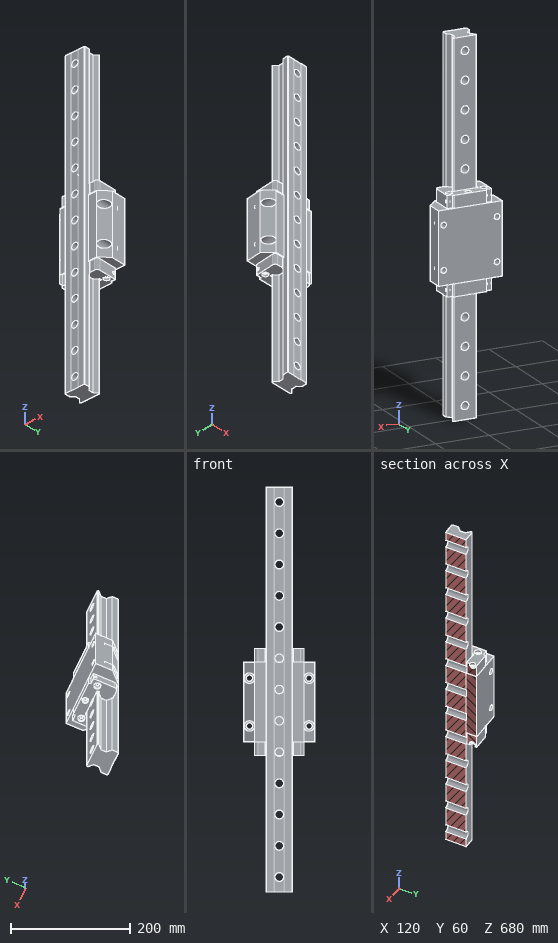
import cadquery as cq

RAIL_LENGTH = 680.0
RAIL_HEIGHT = 39.5
RAIL_WIDTH = 45.0
RAIL_EDGE_CHAMFER = 1.5
WAIST_WIDTH = 30.0
WAIST_BOTTOM = 20.0
WAIST_TOP = 29.0
GROOVE_WIDTH = 18.5
GROOVE_FLOOR_WIDTH = 15.5
GROOVE_DEPTH = 0.4
RAIL_HOLE_DIAMETER = 14.0
RAIL_HOLE_COUNT = 13
RAIL_END_TO_HOLE = 25.0
RAIL_HOLE_PITCH = (RAIL_LENGTH - 2 * RAIL_END_TO_HOLE) / (RAIL_HOLE_COUNT - 1)

CARRIAGE_Z = -21.0
CARRIAGE_TOP = 60.0
BLOCK_LENGTH = 134.0
BLOCK_WIDTH = 120.0
BLOCK_BOTTOM = 9.5
BLOCK_BOTTOM_WIDTH = 83.0
BLOCK_SIDE_BOTTOM = 28.5
FLANGE_HOLE_DIAMETER = 10.0
FLANGE_BORE_DIAMETER = 18.0
FLANGE_BORE_TOP = 43.0
FLANGE_HOLE_SPACING_X = 100.0
FLANGE_HOLE_SPACING_Z = 80.0

CAP_LENGTH = 23.0
CAP_WIDTH = 83.5
CAP_BOTTOM = 11.0
CAP_SHOULDER_Y = 56.0
CAP_CROWN_WIDTH = 61.0
CAP_CROWN_TAPER = 1.5
CAP_FILLET = 6.0
CAP_RAIL_GAP = 1.5
PORT_Y = 52.0
SIDE_PORT_DIAMETER = 4.9
PORT_DEPTH = 7.0
SCREW_SPACING = 64.5
SCREW_Y = 44.0
SCREW_RECESS_DIAMETER = 11.5
END_PORT_RECESS_DIAMETER = 10.0
END_RECESS_DEPTH = 5.5
END_SOCKET_DIAMETER = 5.2
END_SOCKET_DEPTH = 3.0


def mirrored_outline(right_half):
    """Closed wire from the right half of an outline, listed from bottom to top."""
    left_half = [(-x, y) for x, y in reversed(right_half)]
    return cq.Workplane("XY").polyline(right_half + left_half).close()


def rail_outline():
    half_width = RAIL_WIDTH / 2
    half_waist = WAIST_WIDTH / 2
    flare = half_width - half_waist
    return mirrored_outline([
        (half_width - RAIL_EDGE_CHAMFER, 0),
        (half_width, RAIL_EDGE_CHAMFER),
        (half_width, WAIST_BOTTOM - flare),
        (half_waist, WAIST_BOTTOM),
        (half_waist, WAIST_TOP),
        (half_width, WAIST_TOP + flare),
        (half_width, RAIL_HEIGHT - RAIL_EDGE_CHAMFER),
        (half_width - RAIL_EDGE_CHAMFER, RAIL_HEIGHT),
    ])


def rail_envelope():
    return rail_outline().extrude(RAIL_LENGTH / 2, both=True)


def hole_along_y(diameter, x, z, bottom, top):
    return (
        cq.Workplane("XZ", origin=(x, bottom, z))
        .circle(diameter / 2)
        .extrude(bottom - top)
    )


def make_rail():
    rail = rail_envelope()
    groove = mirrored_outline([
        (GROOVE_WIDTH / 2, 0),
        (GROOVE_FLOOR_WIDTH / 2, GROOVE_DEPTH),
    ]).extrude(RAIL_LENGTH / 2, both=True)
    rail = rail.cut(groove)
    for i in range(RAIL_HOLE_COUNT):
        z = -RAIL_LENGTH / 2 + RAIL_END_TO_HOLE + i * RAIL_HOLE_PITCH
        rail = rail.cut(hole_along_y(RAIL_HOLE_DIAMETER, 0, z, 0, RAIL_HEIGHT))
    return rail


def make_block():
    half_width = BLOCK_WIDTH / 2
    half_bottom = BLOCK_BOTTOM_WIDTH / 2
    block = mirrored_outline([
        (half_bottom, BLOCK_BOTTOM),
        (half_width, BLOCK_SIDE_BOTTOM),
        (half_width, CARRIAGE_TOP),
    ]).extrude(BLOCK_LENGTH / 2, both=True).translate((0, 0, CARRIAGE_Z))
    block = block.cut(rail_envelope())
    for side_x in (-1, 1):
        for side_z in (-1, 1):
            x = side_x * FLANGE_HOLE_SPACING_X / 2
            z = CARRIAGE_Z + side_z * FLANGE_HOLE_SPACING_Z / 2
            block = block.cut(hole_along_y(FLANGE_HOLE_DIAMETER, x, z, BLOCK_BOTTOM, CARRIAGE_TOP))
            block = block.cut(hole_along_y(FLANGE_BORE_DIAMETER, x, z, BLOCK_BOTTOM, FLANGE_BORE_TOP))
    return block


def cap_rail_opening():
    """Rail profile, widened to leave a gap around the rail's head and foot."""
    half_opening = RAIL_WIDTH / 2 + CAP_RAIL_GAP
    flare = (RAIL_WIDTH - WAIST_WIDTH) / 2
    head = mirrored_outline([
        (half_opening, WAIST_TOP + flare),
        (half_opening, RAIL_HEIGHT + CAP_RAIL_GAP),
    ])
    foot = mirrored_outline([
        (half_opening, 0),
        (half_opening, WAIST_BOTTOM - flare),
    ])
    return rail_envelope().union(head.extrude(CAP_LENGTH)).union(foot.extrude(CAP_LENGTH))


def end_recess(x, y, diameter):
    """Stepped round recess in the outer face of a cap."""
    outer_face = cq.Workplane("XY", origin=(x, y, CAP_LENGTH))
    recess = outer_face.circle(diameter / 2).extrude(-END_RECESS_DEPTH)
    socket = outer_face.circle(END_SOCKET_DIAMETER / 2).extrude(-END_RECESS_DEPTH - END_SOCKET_DEPTH)
    return recess.union(socket)


def make_cap():
    """End cap with its inner face on z = 0 and its outer face towards +Z."""
    half_width = CAP_WIDTH / 2
    half_crown = CAP_CROWN_WIDTH / 2
    cap = mirrored_outline([
        (half_width, CAP_BOTTOM),
        (half_width, CAP_SHOULDER_Y),
        (half_crown + CAP_CROWN_TAPER, CAP_SHOULDER_Y),
        (half_crown, CARRIAGE_TOP),
    ]).extrude(CAP_LENGTH)
    cap = cap.edges("|Z and <Y").fillet(CAP_FILLET)
    cap = cap.cut(cap_rail_opening())
    for side in (-1, 1):
        cap = cap.cut(end_recess(side * SCREW_SPACING / 2, SCREW_Y, SCREW_RECESS_DIAMETER))
    cap = cap.cut(end_recess(0, PORT_Y, END_PORT_RECESS_DIAMETER))
    for side in (-1, 1):
        side_port = (
            cq.Workplane("YZ", origin=(side * half_width, PORT_Y, CAP_LENGTH / 2))
            .circle(SIDE_PORT_DIAMETER / 2)
            .extrude(-side * PORT_DEPTH)
        )
        cap = cap.cut(side_port)
    return cap


rail = make_rail()
block = make_block()

top_cap = make_cap().translate((0, 0, CARRIAGE_Z + BLOCK_LENGTH / 2))
caps = [top_cap, top_cap.mirror("XY", (0, 0, CARRIAGE_Z))]

result = cq.Compound.makeCompound([rail.val(), block.val(), *[cap.val() for cap in caps]])